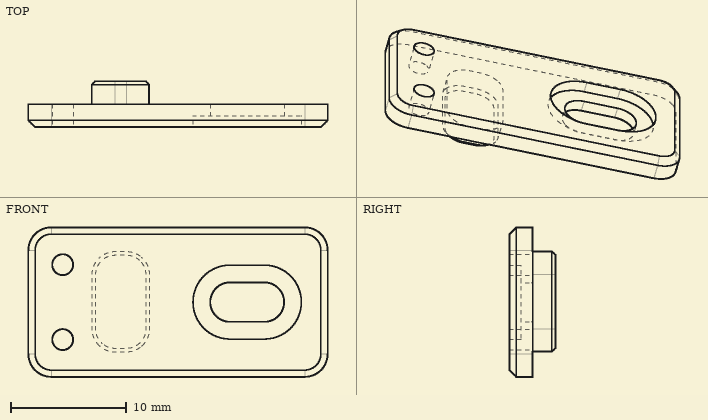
import cadquery as cq

length = 26.0
height = 13.0
thickness = 2.0
corner_radius = 2.0
front_chamfer = 0.6

hole_diameter = 1.8
hole_from_left = 3.0
hole_spacing = 6.5

slot_from_left = 19.0
slot_length = 6.4
slot_height = 3.4
recess_margin = 1.5
recess_depth = 1.0

block_from_left = 8.0
block_length = 5.0
block_height = 8.7
block_above_center = 0.05
block_rise = 2.0
block_corner_radius = 2.0
block_edge_chamfer = 0.3

slot_x = slot_from_left - length / 2
hole_x = hole_from_left - length / 2
block_x = block_from_left - length / 2


def back_plane(y):
    """Sketch plane facing -Y at the given depth: local x is X, local y is Z."""
    return cq.Workplane("XZ", origin=(0, y, 0))


def make_plate():
    plate = back_plane(thickness).rect(length, height).extrude(thickness)
    plate = plate.edges("|Y").fillet(corner_radius)
    return plate.faces("<Y").chamfer(front_chamfer)


def make_block():
    block = (
        back_plane(thickness + block_rise)
        .center(block_x, block_above_center)
        .rect(block_length, block_height)
        .extrude(block_rise)
    )
    block = block.edges("|Y").fillet(block_corner_radius)
    return block.faces(">Y").chamfer(block_edge_chamfer)


def slot_cutter(across, high, depth):
    """Round-ended bar running along X, from the front face to the given depth."""
    return back_plane(depth).center(slot_x, 0).slot2D(across, high).extrude(depth)


pin_holes = (
    back_plane(thickness)
    .pushPoints([(hole_x, -hole_spacing / 2), (hole_x, hole_spacing / 2)])
    .circle(hole_diameter / 2)
    .extrude(thickness)
)
through_slot = slot_cutter(slot_length, slot_height, thickness)
recess = slot_cutter(slot_length + 2 * recess_margin, slot_height + 2 * recess_margin, recess_depth)

result = make_plate().union(make_block()).cut(pin_holes).cut(through_slot).cut(recess)